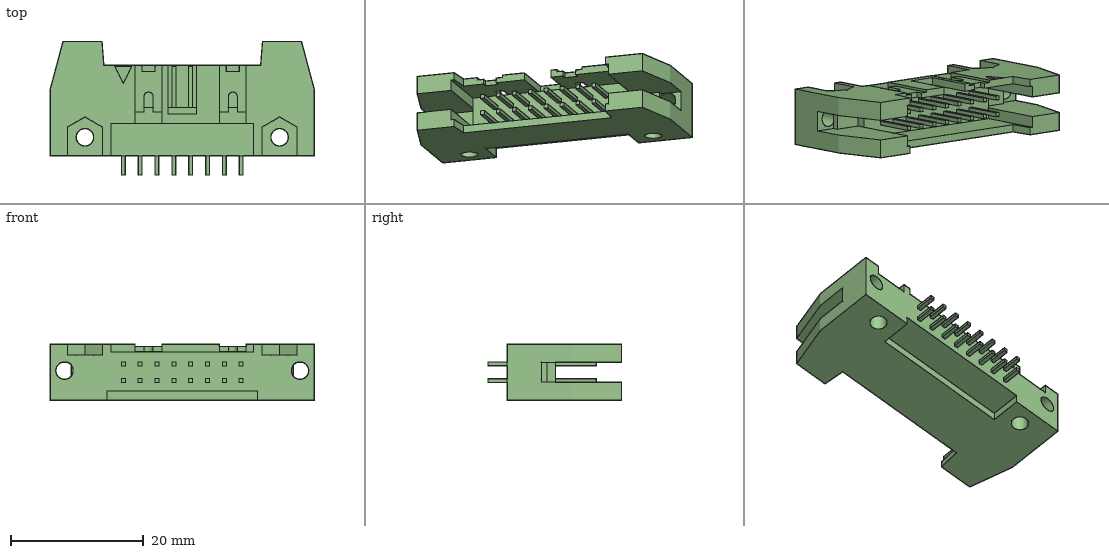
import cadquery as cq
import math


BODY_WIDTH = 39.9
BODY_HEIGHT = 8.5
TOWER_END_Y = 17.28
MOUTH_Y = 13.7
TOWER_BEND_Y = 9.98
TOWER_OUTER_TIP_X = 18.0
TOWER_INNER_TIP_X = 12.1
TOWER_INNER_ROOT_X = 11.8
HALF_WIDTH = BODY_WIDTH / 2
TOP_Z = BODY_HEIGHT / 2
BOTTOM_Z = -TOP_Z

WALL = 1.1
CAVITY_FLOOR_Y = 7.3
CAVITY_HALF_WIDTH = 12.55
LATCH_SLOT_HEIGHT = 3.0
LATCH_SLOT_FLOOR_Y = 6.0
LATCH_PIVOT_FLOOR_Y = 5.15
LATCH_PIVOT_INNER_X = 16.75

PIN_COLUMNS = 8
PIN_SPAN = 17.8
PIN_PITCH = PIN_SPAN / (PIN_COLUMNS - 1)
PIN_SIZE = 0.6
PIN_TAIL_LENGTH = 2.9
PIN_TIP_Y = 13.45

HOLE_DIAMETER = 2.6
MOUNT_X = 14.7
MOUNT_Y = 2.8
NUT_ACROSS_FLATS = 5.3
NUT_POCKET_DEPTH = 1.68
AXIAL_HOLE_X = 17.75
AXIAL_HOLE_Z = 0.25

TOP_RECESS_WIDTH = 21.55
TOP_RECESS_DEPTH = 1.2
BOTTOM_RECESS_WIDTH = 22.75
BOTTOM_RECESS_DEPTH = 1.45
RECESS_END_Y = 4.9

WINDOW_XS = (-2 * PIN_PITCH, 3 * PIN_PITCH)
WINDOW_WIDTH = 4.03
WINDOW_STEP_DEPTH = 0.35
WINDOW_STEP_Y = 6.6
WINDOW_SLOT_WIDTH = 1.35
WINDOW_SLOT_END_Y = 9.6
MOUTH_NOTCH_WIDTH = 2.0
MOUTH_NOTCH_LENGTH = 0.95

KEY_WIDTH = 4.23
KEY_START_Y = 6.35

MARK_WIDTH = 2.5
MARK_BASE_Y = 13.45
MARK_TIP_Y = 10.95
MARK_DEPTH = 0.2


def block(x_range, y_range, z_range):
    """Box between the given limits on each axis."""
    (x0, x1), (y0, y1), (z0, z1) = x_range, y_range, z_range
    return cq.Workplane("XY").box(x1 - x0, y1 - y0, z1 - z0, centered=False).translate((x0, y0, z0))


def centred_block(x, width, y_range, z_range):
    """Box of the given width centred on x."""
    return block((x - width / 2, x + width / 2), y_range, z_range)


def make_body():
    right_side = [
        (HALF_WIDTH, 0),
        (HALF_WIDTH, TOWER_BEND_Y),
        (TOWER_OUTER_TIP_X, TOWER_END_Y),
        (TOWER_INNER_TIP_X, TOWER_END_Y),
        (TOWER_INNER_ROOT_X, MOUTH_Y),
    ]
    left_side = [(-x, y) for x, y in reversed(right_side)]
    outline = cq.Workplane("XY").workplane(offset=BOTTOM_Z).polyline(right_side + left_side)
    return outline.close().extrude(BODY_HEIGHT)


def cut_mating_cavity(body):
    """Open the cavity between the walls and the latch slots that run out through both sides."""
    cavity_z = (BOTTOM_Z + WALL, TOP_Z - WALL)
    slot_z = (-LATCH_SLOT_HEIGHT / 2, LATCH_SLOT_HEIGHT / 2)
    body = body.cut(centred_block(0, 2 * CAVITY_HALF_WIDTH, (CAVITY_FLOOR_Y, TOWER_END_Y), cavity_z))
    for side in (-1, 1):
        inner_x = sorted((side * CAVITY_HALF_WIDTH, side * LATCH_PIVOT_INNER_X))
        outer_x = sorted((side * LATCH_PIVOT_INNER_X, side * HALF_WIDTH))
        body = body.cut(block(inner_x, (LATCH_SLOT_FLOOR_Y, TOWER_END_Y), slot_z))
        body = body.cut(block(outer_x, (LATCH_PIVOT_FLOOR_Y, TOWER_END_Y), slot_z))
    return body


def cut_solder_end_recesses(body):
    recess_y = (0, RECESS_END_Y)
    top = centred_block(0, TOP_RECESS_WIDTH, recess_y, (TOP_Z - TOP_RECESS_DEPTH, TOP_Z))
    bottom = centred_block(0, BOTTOM_RECESS_WIDTH, recess_y, (BOTTOM_Z, BOTTOM_Z + BOTTOM_RECESS_DEPTH))
    return body.cut(top).cut(bottom)


def cut_mounting_features(body, x_sign):
    """Vertical screw hole, hexagonal nut pocket open to the solder face, and axial hole into the slot."""
    x = x_sign * MOUNT_X
    pocket_z = TOP_Z - NUT_POCKET_DEPTH
    across_corners = NUT_ACROSS_FLATS * 2 / math.sqrt(3)
    hexagon = (
        cq.Workplane("XY")
        .polygon(6, across_corners)
        .extrude(NUT_POCKET_DEPTH)
        .rotate((0, 0, 0), (0, 0, 1), 30)
        .translate((x, MOUNT_Y, pocket_z))
    )
    entry = centred_block(x, NUT_ACROSS_FLATS, (0, MOUNT_Y), (pocket_z, TOP_Z))
    screw_hole = (
        cq.Workplane("XY").circle(HOLE_DIAMETER / 2).extrude(BODY_HEIGHT).translate((x, MOUNT_Y, BOTTOM_Z))
    )
    axial_hole = (
        cq.Workplane("XZ")
        .center(x_sign * AXIAL_HOLE_X, AXIAL_HOLE_Z)
        .circle(HOLE_DIAMETER / 2)
        .extrude(-LATCH_PIVOT_FLOOR_Y)
    )
    return body.cut(hexagon).cut(entry).cut(screw_hole).cut(axial_hole)


def cut_window(body, x):
    """Stepped channel in the top wall with a round-ended slot and a notch at the mouth."""
    wall_z = (TOP_Z - WALL, TOP_Z)
    shallow = centred_block(x, WINDOW_WIDTH, (WINDOW_STEP_Y, MOUTH_Y), (TOP_Z - WINDOW_STEP_DEPTH, TOP_Z))
    deep = centred_block(x, WINDOW_WIDTH, (RECESS_END_Y, WINDOW_STEP_Y), wall_z)
    slot_radius = WINDOW_SLOT_WIDTH / 2
    arc_centre_y = WINDOW_SLOT_END_Y - slot_radius
    slot = centred_block(x, WINDOW_SLOT_WIDTH, (WINDOW_STEP_Y, arc_centre_y), wall_z)
    slot_end = cq.Workplane("XY").circle(slot_radius).extrude(WALL).translate((x, arc_centre_y, TOP_Z - WALL))
    notch = centred_block(x, MOUTH_NOTCH_WIDTH, (MOUTH_Y - MOUTH_NOTCH_LENGTH, MOUTH_Y), wall_z)
    for cutter in (shallow, deep, slot, slot_end, notch):
        body = body.cut(cutter)
    return body


def cut_key_notch(body):
    return body.cut(centred_block(0, KEY_WIDTH, (KEY_START_Y, MOUTH_Y), (TOP_Z - WALL, TOP_Z)))


def cut_pin_one_mark(body):
    """Shallow triangle over the first pin column."""
    x = -PIN_SPAN / 2
    corners = [(x - MARK_WIDTH / 2, MARK_BASE_Y), (x + MARK_WIDTH / 2, MARK_BASE_Y), (x, MARK_TIP_Y)]
    base = cq.Workplane("XY").workplane(offset=TOP_Z - MARK_DEPTH)
    mark = base.polyline(corners).close().extrude(MARK_DEPTH)
    return body.cut(mark)


def add_pins(body):
    """Two rows of square pins, one pitch apart, passing through the cavity floor."""
    for row_z in (-PIN_PITCH / 2, PIN_PITCH / 2):
        pin_z = (row_z - PIN_SIZE / 2, row_z + PIN_SIZE / 2)
        for column in range(PIN_COLUMNS):
            x = column * PIN_PITCH - PIN_SPAN / 2
            body = body.union(centred_block(x, PIN_SIZE, (-PIN_TAIL_LENGTH, PIN_TIP_Y), pin_z))
    return body


housing = cut_mating_cavity(make_body())
housing = cut_solder_end_recesses(housing)
for mount_sign in (-1, 1):
    housing = cut_mounting_features(housing, mount_sign)
for window_x in WINDOW_XS:
    housing = cut_window(housing, window_x)
housing = cut_key_notch(housing)
housing = cut_pin_one_mark(housing)
result = add_pins(housing)